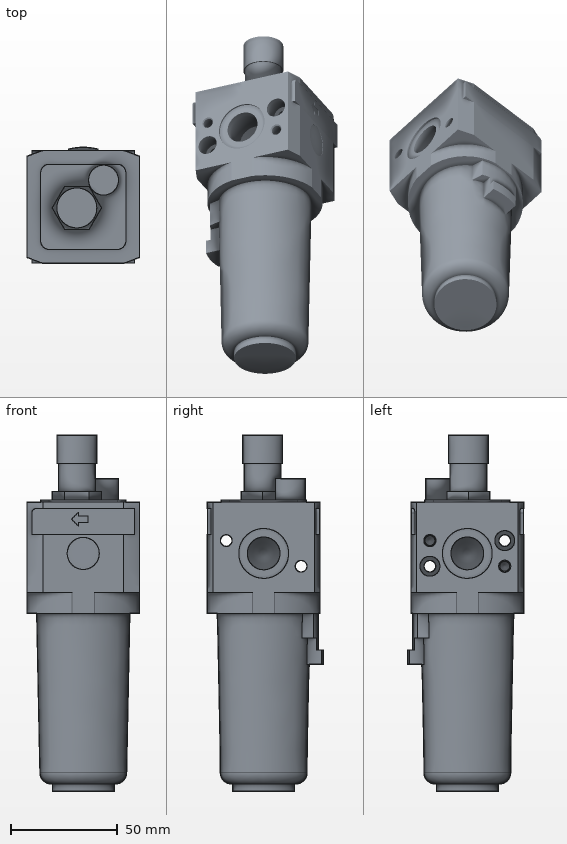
import cadquery as cq
import math

total_height = 167.0
body_width = 53.0
half_body = body_width / 2

drain_radius = 14.5
drain_height = 3.5
bowl_bottom_radius = 20.4
bowl_top_radius = 21.9
bowl_round = 5.3

collar_bottom = 83.5
body_bottom = 93.4
body_top = 135.6
front_flat_half = 18.9
side_flat_half = 23.7
collar_flat_half = 5.2
collar_radius = math.hypot(half_body, collar_flat_half)

plate_width = 48.1
plate_bottom = 120.4
plate_top = 132.6
plate_setback = 0.08
plate_corner_round = 2.0
mark_depth = 0.2

arrow_tip_x = -5.5
arrow_length = 7.8
arrow_head_length = 3.2
arrow_head_half = 3.2
arrow_shaft_half = 1.5
arrow_z = 127.6

port_z = 111.5
port_radius = 7.7
port_depth = 15.0
port_face_radius = 11.7
port_face_depth = 0.8
drill_point_angle = 118.0
bolt_y = 17.5
bolt_z_offset = 6.0
bolt_radius = 2.7
bolt_head_radius = 4.7
bolt_head_depth = 8.4
tapped_radius = 2.3
tapped_mouth_radius = 2.8
tapped_depth = 10.0
countersink_taper = 45.0
gauge_radius = 7.5

cover_width = 39.9
cover_corner_round = 4.0
cover_top = body_top + 1.0
stem_x = -3.0
stem_y = -0.5
hex_across_flats = 20.0
hex_top = 140.6
neck_radius = 8.7
knob_radius = 9.4
knob_bottom = 153.6
plug_x = 9.5
plug_y = 12.5
plug_radius = 7.0
plug_top = 146.6

lock_radius = 25.7
lock_button_radius = half_body + 1.5
lock_guide_front_half = 10.7
lock_guide_front_y = 23.4
lock_guide_root_half = 12.2
lock_guide_root_y = 18.0
lock_slide_half = 7.0
lock_guide_bottom = 71.8
lock_button_top = 66.3
lock_button_bottom = 59.6


def cylinder(radius, bottom, top, x=0.0, y=0.0):
    """Upright cylinder between two heights."""
    return cq.Workplane("XY", origin=(x, y, bottom)).circle(radius).extrude(top - bottom)


def drilled_hole(radius, depth, y, z):
    """Blind hole into the -X face, ending in a drill point."""
    point = radius / math.tan(math.radians(drill_point_angle / 2))
    profile = [(0, 0), (0, radius), (depth, radius), (depth + point, 0)]
    axis_plane = cq.Workplane("XY", origin=(-half_body, y, z))
    return axis_plane.polyline(profile).close().revolve(360, (0, 0, 0), (1, 0, 0))


def side_bore(radius, depth, y, z, taper=0.0):
    """Flat-bottomed bore into the -X face, narrowing inwards by the taper angle."""
    return cq.Workplane("YZ", origin=(-half_body, y, z)).circle(radius).extrude(depth, taper=taper)


def make_bowl():
    base_z = drain_height
    round_end_z = base_z + bowl_round
    bowl = (
        cq.Workplane("XZ")
        .moveTo(0, base_z)
        .lineTo(bowl_bottom_radius - bowl_round, base_z)
        .radiusArc((bowl_bottom_radius, round_end_z), -bowl_round)
        .lineTo(bowl_top_radius, collar_bottom)
        .lineTo(0, collar_bottom)
        .close()
        .revolve(360, (0, 0, 0), (0, 1, 0))
    )
    return bowl.union(cylinder(drain_radius, 0, drain_height + bowl_round))


def make_body():
    outline = [
        (half_body, side_flat_half),
        (front_flat_half, half_body),
        (-front_flat_half, half_body),
        (-half_body, side_flat_half),
        (-half_body, -side_flat_half),
        (-front_flat_half, -half_body),
        (front_flat_half, -half_body),
        (half_body, -side_flat_half),
    ]
    block = (
        cq.Workplane("XY", origin=(0, 0, body_bottom))
        .polyline(outline)
        .close()
        .extrude(body_top - body_bottom)
    )
    collar_height = body_bottom - collar_bottom
    envelope = (
        cq.Workplane("XY", origin=(0, 0, collar_bottom))
        .rect(body_width, body_width)
        .extrude(collar_height)
    )
    collar = cylinder(collar_radius, collar_bottom, body_bottom).intersect(envelope)
    return block.union(collar)


def add_plates(body):
    """Set a plate just below the surface of the front and back faces."""
    plate_height = plate_top - plate_bottom
    centre_z = (plate_top + plate_bottom) / 2
    depth = half_body - side_flat_half
    for side in (-1, 1):
        window = cq.Workplane("XY").box(plate_width, depth, plate_height)
        window = window.edges("<X and >Z").fillet(plate_corner_round)
        window = window.translate((0, side * (half_body - depth / 2), centre_z))
        plate = window.translate((0, -side * plate_setback, 0))
        body = body.cut(window).union(plate)
    return body


def cut_front_marks(body):
    """Shallow gauge-port disc and flow arrow on the front."""
    gauge_floor = mark_depth - half_body
    gauge = (
        cq.Workplane("XZ", origin=(0, gauge_floor, port_z))
        .circle(gauge_radius)
        .extrude(mark_depth)
    )
    head_x = arrow_head_length
    arrow_outline = [
        (0, 0),
        (head_x, arrow_head_half),
        (head_x, arrow_shaft_half),
        (arrow_length, arrow_shaft_half),
        (arrow_length, -arrow_shaft_half),
        (head_x, -arrow_shaft_half),
        (head_x, -arrow_head_half),
    ]
    arrow_floor = mark_depth + plate_setback - half_body
    arrow = (
        cq.Workplane("XZ", origin=(arrow_tip_x, arrow_floor, arrow_z))
        .polyline(arrow_outline)
        .close()
        .extrude(mark_depth)
    )
    return body.cut(gauge).cut(arrow)


def cut_side_holes(body):
    port = drilled_hole(port_radius, port_depth, 0, port_z)
    port = port.union(side_bore(port_face_radius, port_face_depth, 0, port_z))
    body = body.cut(port).cut(port.mirror("YZ"))

    mouth_depth = (tapped_mouth_radius - tapped_radius) / math.tan(math.radians(countersink_taper))
    for side in (-1, 1):
        y = side * bolt_y
        bolt_z = port_z - side * bolt_z_offset
        tapped_z = port_z + side * bolt_z_offset
        body = body.cut(side_bore(bolt_radius, body_width, y, bolt_z))
        body = body.cut(side_bore(bolt_head_radius, bolt_head_depth, y, bolt_z))
        body = body.cut(drilled_hole(tapped_radius, tapped_depth, y, tapped_z))
        body = body.cut(side_bore(tapped_mouth_radius, mouth_depth, y, tapped_z, countersink_taper))
    return body


def make_top_fittings():
    cover = (
        cq.Workplane("XY", origin=(0, 0, body_top))
        .rect(cover_width, cover_width)
        .extrude(cover_top - body_top)
        .edges("|Z")
        .fillet(cover_corner_round)
    )
    hex_across_corners = hex_across_flats / math.cos(math.pi / 6)
    nut = (
        cq.Workplane("XY", origin=(stem_x, stem_y, cover_top))
        .polygon(6, hex_across_corners)
        .extrude(hex_top - cover_top)
    )
    neck = cylinder(neck_radius, hex_top, knob_bottom, stem_x, stem_y)
    knob = cylinder(knob_radius, knob_bottom, total_height, stem_x, stem_y)
    plug = cylinder(plug_radius, cover_top, plug_top, plug_x, plug_y)
    return cover.union(nut).union(neck).union(knob).union(plug)


def lock_segment(outline, radius, bottom, top):
    """Upright prism on the given outline, trimmed to a cylinder about the bowl axis."""
    prism = (
        cq.Workplane("XY", origin=(0, 0, bottom))
        .polyline(outline)
        .close()
        .extrude(top - bottom)
    )
    return prism.intersect(cylinder(radius, bottom, top))


def make_bowl_lock():
    flank_slope = (lock_guide_root_half - lock_guide_front_half) / (lock_guide_front_y - lock_guide_root_y)
    front_half = lock_guide_front_half - flank_slope * (lock_radius - lock_guide_front_y)
    guide_outline = [
        (-lock_guide_root_half, 0),
        (lock_guide_root_half, 0),
        (lock_guide_root_half, lock_guide_root_y),
        (front_half, lock_radius),
        (-front_half, lock_radius),
        (-lock_guide_root_half, lock_guide_root_y),
    ]
    slide_outline = [
        (-lock_slide_half, 0),
        (lock_slide_half, 0),
        (lock_slide_half, lock_button_radius),
        (-lock_slide_half, lock_button_radius),
    ]
    guide = lock_segment(guide_outline, lock_radius, lock_guide_bottom, collar_bottom)
    slide = lock_segment(slide_outline, lock_radius, lock_button_top, lock_guide_bottom)
    button = lock_segment(slide_outline, lock_button_radius, lock_button_bottom, lock_button_top)
    return guide.union(slide).union(button)


body = cut_side_holes(cut_front_marks(add_plates(make_body())))
result = body.union(make_bowl()).union(make_bowl_lock()).union(make_top_fittings())